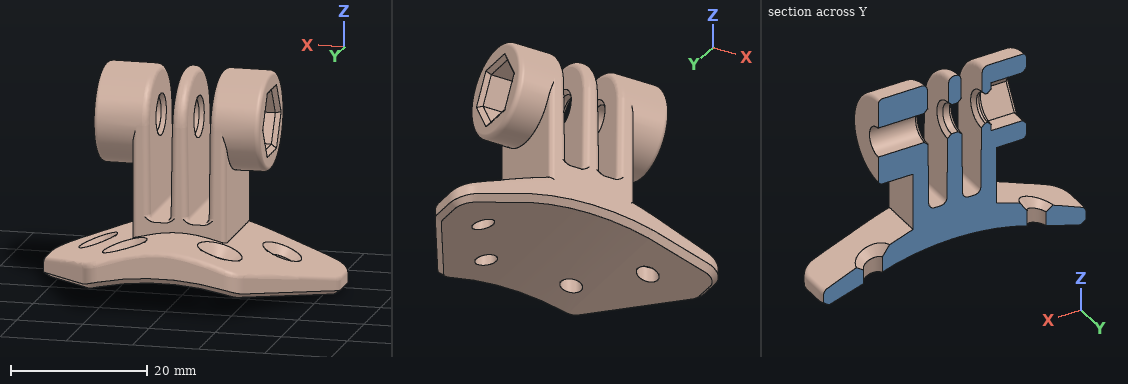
import cadquery as cq
import math


barrel_diameter = 15.0
overall_height = 33.25
axis_y = barrel_diameter / 2
axis_z = overall_height - barrel_diameter / 2
nut_barrel_end_x = -12.2
head_barrel_end_x = 13.0
barrel_edge_fillet = 0.75
tower_half_width = 7.1
tower_corner_fillet = 0.75
tower_base_z = 5.85

slot_floor_z = 11.3
slot_floor_inner_x = 1.4
slot_floor_outer_x = 4.35
slot_top_inner_x = 1.1
slot_top_outer_x = 4.65
slot_floor_fillet = 1.0
prong_fillet = 1.0

bolt_diameter = 5.0
bolt_rim_chamfer = 0.65
nut_across_flats = 8.3
nut_pocket_depth = 6.0
nut_entry_chamfer = 0.68

plate_half_length = 22.5
plate_depth = 26.0
plate_back_half_length = 11.3
plate_side_depth = 7.35
plate_corner_radius = 3.0
plate_top_fillet = 1.0
plate_bottom_chamfer = 0.95

top_crest_z = 9.95
top_shoulder = (tower_half_width, 8.7)
top_bend = (17.7, 4.75)
top_tip_z = 2.8
bottom_crest_z = 4.75
bottom_arc_end = (10.15, 3.5)
bottom_tip_z = -0.25

screw_diameter = 3.35
screw_holes = [(7.2, 18.9, 1.65), (13.9, 8.05, 1.25)]

match_tolerance = 0.05


def x_cylinder(diameter, x_start, x_end):
    """Cylinder along X on the clamp axis."""
    profile = cq.Workplane("YZ", origin=(x_start, axis_y, axis_z)).circle(diameter / 2)
    return profile.extrude(x_end - x_start)


def rim_edges(plate, side):
    """Outer edges of the plate's top (side=1) or bottom (side=-1) surface."""
    least_normal_z = 0.9
    faces = [face for face in plate.faces().vals() if side * face.normalAt().z > least_normal_z]
    edges = [edge for face in faces for edge in face.Edges()]
    return [edge for edge in edges if sum(edge.isSame(other) for other in edges) == 1]


def make_plate():
    """Arched saddle plate with rounded top edges and chamfered bottom edges."""
    shoulder_x, shoulder_z = top_shoulder
    bend_x, bend_z = top_bend
    arc_x, arc_z = bottom_arc_end
    crown = [(-shoulder_x, shoulder_z), (0, top_crest_z), (shoulder_x, shoulder_z), (bend_x, bend_z)]
    section = (
        cq.Workplane("XZ")
        .moveTo(-bend_x, bend_z)
        .spline(crown, includeCurrent=True)
        .lineTo(plate_half_length, top_tip_z)
        .lineTo(plate_half_length, bottom_tip_z)
        .lineTo(arc_x, arc_z)
        .threePointArc((0, bottom_crest_z), (-arc_x, arc_z))
        .lineTo(-plate_half_length, bottom_tip_z)
        .lineTo(-plate_half_length, top_tip_z)
        .close()
        .extrude(-plate_depth)
    )
    outline = (
        cq.Workplane("XY")
        .moveTo(-plate_half_length, 0)
        .lineTo(plate_half_length, 0)
        .lineTo(plate_half_length, plate_side_depth)
        .lineTo(plate_back_half_length, plate_depth)
        .lineTo(-plate_back_half_length, plate_depth)
        .lineTo(-plate_half_length, plate_side_depth)
        .close()
        .extrude(overall_height, both=True)
        .edges("|Z")
        .fillet(plate_corner_radius)
    )
    plate = section.intersect(outline)
    plate = plate.newObject(rim_edges(plate, 1)).fillet(plate_top_fillet)
    return plate.newObject(rim_edges(plate, -1)).chamfer(plate_bottom_chamfer)


def cut_screw_hole(plate, x, y, countersink):
    """Vertical screw hole, with an even chamfer around its mouth in the sloping top."""
    hole = cq.Workplane("XY").center(x, y).circle(screw_diameter / 2).extrude(overall_height, both=True)
    plate = plate.cut(hole)
    rims = [
        edge
        for edge in plate.edges("not %LINE").vals()
        if math.hypot(edge.Center().x - x, edge.Center().y - y) < screw_diameter / 4
    ]
    mouth = max(rims, key=lambda edge: edge.Center().z)
    return plate.newObject([mouth]).chamfer(countersink)


def make_slot(side):
    """Tapered slot beside the middle prong, open at both ends and at the top."""
    return (
        cq.Workplane("XZ")
        .moveTo(side * slot_floor_inner_x, slot_floor_z)
        .lineTo(side * slot_floor_outer_x, slot_floor_z)
        .lineTo(side * slot_top_outer_x, overall_height)
        .lineTo(side * slot_top_inner_x, overall_height)
        .close()
        .extrude(-barrel_diameter)
    )


def slot_rim_edges(fork):
    """Edges of the slot walls that run up the prongs and over their round tops."""
    walls = [
        face
        for face in fork.faces("not #X").vals()
        if abs(face.Center().x) < tower_half_width
    ]
    edges = [edge for wall in walls for edge in wall.Edges()]
    return [edge for edge in edges if edge.BoundingBox().zmax > axis_z - match_tolerance]


def slot_floor_edges(fork, half_length):
    """Edges where the prongs meet the slot floor and the ledges around it."""
    return [
        edge
        for edge in fork.edges().vals()
        if abs(edge.Center().z - slot_floor_z) < match_tolerance
        and abs(edge.Center().x) < half_length - match_tolerance
        and abs(edge.Center().y - axis_y) < barrel_diameter / 2 + match_tolerance
    ]


def make_fork():
    """Three prongs with rounded rims; the outer two are left longer than the barrels."""
    half_length = 2 * tower_half_width
    fork = (
        cq.Workplane("YZ", origin=(-half_length, 0, 0))
        .moveTo(0, tower_base_z)
        .lineTo(barrel_diameter, tower_base_z)
        .lineTo(barrel_diameter, axis_z)
        .threePointArc((axis_y, overall_height), (0, axis_z))
        .close()
        .extrude(2 * half_length)
    )
    for side in (-1, 1):
        fork = fork.cut(make_slot(side))
    fork = fork.newObject(slot_rim_edges(fork)).fillet(prong_fillet)

    ledge = (
        cq.Workplane("XY", origin=(0, axis_y, tower_base_z))
        .rect(2 * half_length, 2 * barrel_diameter)
        .extrude(slot_floor_z - tower_base_z)
    )
    fork = fork.union(ledge)
    return fork.newObject(slot_floor_edges(fork, half_length)).fillet(slot_floor_fillet)


def make_envelope():
    """Outside shape of the upright tower and the two barrels, without the slots."""
    tower = (
        cq.Workplane("XY", origin=(0, axis_y, tower_base_z))
        .rect(2 * tower_half_width, barrel_diameter)
        .extrude(axis_z - tower_base_z)
        .edges("|Z")
        .fillet(tower_corner_fillet)
    )
    barrel = x_cylinder(barrel_diameter, nut_barrel_end_x, head_barrel_end_x)
    return tower.union(barrel.faces("<X or >X").edges().fillet(barrel_edge_fillet))


def x_hexagon(across_flats):
    """Hexagonal outline in the -X barrel end, with two corners pointing along Y."""
    across_corners = across_flats / math.cos(math.pi / 6)
    return cq.Workplane("YZ", origin=(nut_barrel_end_x, axis_y, axis_z)).polygon(6, across_corners)


def make_nut_pocket():
    """Nut pocket with a chamfered entry, sunk into the -X barrel."""
    pocket = x_hexagon(nut_across_flats).extrude(nut_pocket_depth)
    entry = x_hexagon(nut_across_flats + 2 * nut_entry_chamfer).extrude(nut_entry_chamfer, taper=45)
    return pocket.union(entry)


def cut_bolt_hole(body):
    """Bolt hole through the barrels and prongs, chamfered at the pocket floor and slot walls."""
    body = body.cut(x_cylinder(bolt_diameter, nut_barrel_end_x, head_barrel_end_x))
    rims = [
        edge
        for edge in body.edges("not %LINE").vals()
        if abs(edge.BoundingBox().ylen - bolt_diameter) < match_tolerance
        and abs(edge.Center().z - axis_z) < match_tolerance
        and edge.Center().x < tower_half_width
    ]
    return body.newObject(rims).chamfer(bolt_rim_chamfer)


plate = make_plate()
for offset, y, countersink in screw_holes:
    for side in (-1, 1):
        plate = cut_screw_hole(plate, side * offset, y, countersink)

fork = make_fork().intersect(make_envelope())
body = plate.union(fork).cut(make_nut_pocket())
result = cut_bolt_hole(body)